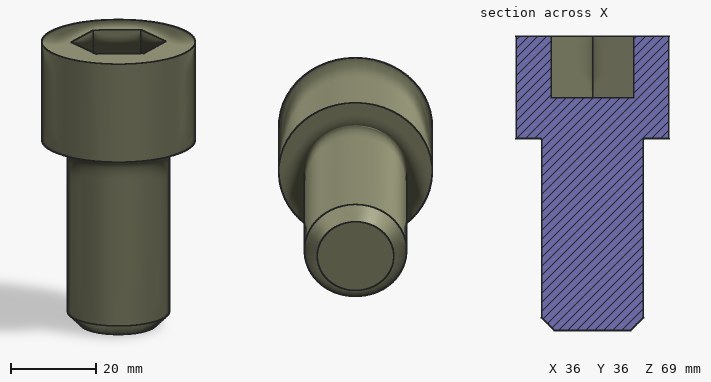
import cadquery as cq
import math

total_length = 69.0
head_diameter = 36.0
head_height = 24.0
shank_diameter = 24.0
tip_chamfer = 3.05
neck_fillet = 0.3
socket_across_flats = 19.25
socket_depth = 0.6 * head_height

shank_length = total_length - head_height
socket_across_corners = socket_across_flats / math.cos(math.pi / 6)

head = (
    cq.Workplane("XY", origin=(0, 0, shank_length))
    .circle(head_diameter / 2)
    .extrude(head_height)
)

shank = cq.Workplane("XY").circle(shank_diameter / 2).extrude(shank_length)
shank = shank.faces("<Z").chamfer(tip_chamfer)
body = head.union(shank)

neck_edge = cq.selectors.RadiusNthSelector(0)
underside = body.faces("|Z").faces("<Z[1]")
body = underside.edges(neck_edge).fillet(neck_fillet)

socket = (
    cq.Workplane("XY", origin=(0, 0, total_length))
    .polygon(6, socket_across_corners)
    .extrude(-socket_depth)
)

result = body.cut(socket)